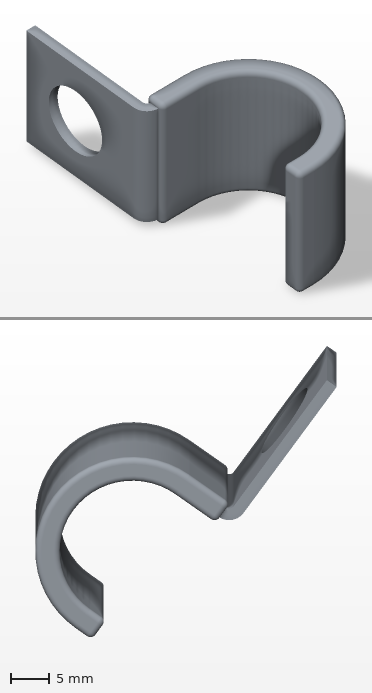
import cadquery as cq


overall_length = 45.95
overall_depth = 21.35
saddle_width = 20.65
saddle_outer_radius = 12.65
cushion_thickness = 3.15
cushion_edge_radius = 0.8
long_leg = 6.53
short_leg = 2.57
strap_width = 19.0
strap_thickness = 1.55
bend_inner_radius = 0.75
hole_diameter = 10.3

saddle_inner_radius = saddle_outer_radius - cushion_thickness
saddle_mid_radius = saddle_outer_radius - cushion_thickness / 2
bend_outer_radius = bend_inner_radius + strap_thickness
tab_end_x = saddle_outer_radius - overall_length
tab_outer_y = saddle_outer_radius - overall_depth
tab_inner_y = tab_outer_y + strap_thickness
strap_inner_x = -saddle_mid_radius + strap_thickness / 2
strap_outer_x = strap_inner_x - strap_thickness
bend_start_x = strap_inner_x - bend_outer_radius
bend_end_y = tab_outer_y + bend_outer_radius
strap_top_y = -long_leg + cushion_thickness
hole_x = tab_end_x + strap_width / 2


def make_cushion():
    """Half-round saddle with two unequal straight legs and rounded edges."""
    profile = (
        cq.Workplane("XY")
        .moveTo(-saddle_outer_radius, -long_leg)
        .lineTo(-saddle_outer_radius, 0)
        .threePointArc((0, saddle_outer_radius), (saddle_outer_radius, 0))
        .lineTo(saddle_outer_radius, -short_leg)
        .lineTo(saddle_inner_radius, -short_leg)
        .lineTo(saddle_inner_radius, 0)
        .threePointArc((0, saddle_inner_radius), (-saddle_inner_radius, 0))
        .lineTo(-saddle_inner_radius, -long_leg)
        .close()
    )
    body = profile.extrude(saddle_width / 2, both=True)
    leg_end_edges = body.faces("-Y").edges("|Z")
    return body.faces(">Z or <Z").edges().add(leg_end_edges).fillet(cushion_edge_radius)


def make_strap():
    """Flat tab bent through a right angle into the long leg."""
    profile = (
        cq.Workplane("XY")
        .moveTo(tab_end_x, tab_outer_y)
        .lineTo(bend_start_x, tab_outer_y)
        .radiusArc((strap_inner_x, bend_end_y), -bend_outer_radius)
        .lineTo(strap_inner_x, strap_top_y)
        .lineTo(strap_outer_x, strap_top_y)
        .lineTo(strap_outer_x, bend_end_y)
        .radiusArc((bend_start_x, tab_inner_y), bend_inner_radius)
        .lineTo(tab_end_x, tab_inner_y)
        .close()
    )
    strap = profile.extrude(strap_width / 2, both=True)
    hole = (
        cq.Workplane("XZ", origin=(hole_x, tab_inner_y, 0))
        .circle(hole_diameter / 2)
        .extrude(strap_thickness)
    )
    return strap.cut(hole)


result = make_cushion().union(make_strap())